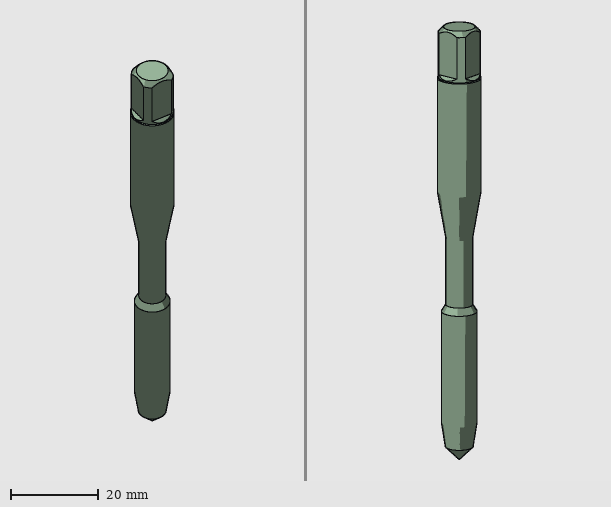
import cadquery as cq

shank_diameter = 10.0
square_corner_diameter = 9.6
top_face_diameter = 7.2
neck_diameter = 6.2
thread_diameter = 8.1
lead_end_diameter = 6.4

square_width = 8.0

total_length = 103.1
square_base_z = 92.1
shank_chamfer_top_z = 91.1
shank_top_z = 90.9
shank_taper_top_z = 63.9
neck_top_z = 52.9
neck_bottom_z = 37.0
thread_top_z = 35.4
lead_top_z = 8.9
tip_height = lead_end_diameter / 2

top_chamfer = (square_corner_diameter - top_face_diameter) / 2


def revolve_profile(sections):
    """Revolve (diameter, height) pairs, listed bottom to top, about the Z axis."""
    points = [(diameter / 2, z) for diameter, z in sections]
    bottom_z = sections[0][1]
    top_z = sections[-1][1]
    outline = [(0, bottom_z)] + [p for p in points if p[0] > 0] + [(0, top_z)]
    return cq.Workplane("XZ").polyline(outline).close().revolve(360, (0, 0), (0, 1))


def make_drive_square():
    """Square with rounded corners, a chamfered top and 45 degree run-outs below its flats."""
    square = (
        cq.Workplane("XY").workplane(offset=square_base_z)
        .rect(square_width, square_width).extrude(total_length - square_base_z)
    )
    runout_height = square_base_z - shank_chamfer_top_z
    runout_width = square_width + 2 * runout_height
    runouts = (
        cq.Workplane("XY").workplane(offset=shank_chamfer_top_z).rect(runout_width, runout_width)
        .workplane(offset=runout_height).rect(square_width, square_width).loft(ruled=True)
    )
    round_stock = revolve_profile([
        (square_corner_diameter, shank_chamfer_top_z),
        (square_corner_diameter, total_length - top_chamfer),
        (top_face_diameter, total_length),
    ])
    return square.union(runouts).intersect(round_stock)


def make_shank():
    """Neck, taper and cylindrical shank carrying the drive square."""
    turned_shank = revolve_profile([
        (thread_diameter, thread_top_z),
        (neck_diameter, neck_bottom_z),
        (neck_diameter, neck_top_z),
        (shank_diameter, shank_taper_top_z),
        (shank_diameter, shank_top_z),
        (square_corner_diameter, shank_chamfer_top_z),
    ])
    return turned_shank.union(make_drive_square())


def make_cutting_head():
    """Threading section, modelled plain, with its tapered lead and pointed tip."""
    return revolve_profile([
        (0, 0),
        (lead_end_diameter, tip_height),
        (thread_diameter, lead_top_z),
        (thread_diameter, thread_top_z),
    ])


shank = make_shank()
cutting_head = make_cutting_head()
result = cq.Compound.makeCompound([shank.val(), cutting_head.val()])